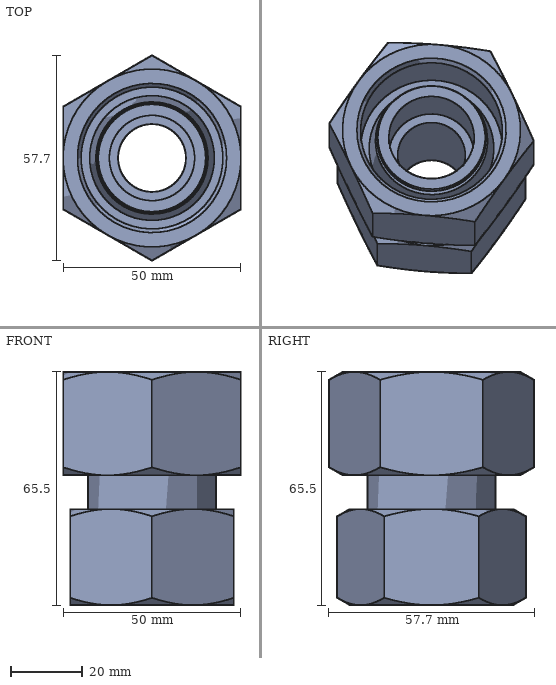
import cadquery as cq
import math

total_height = 65.5
nut_chamfer_angle = 30.0

upper_flats = 50.0
upper_height = 29.0
upper_bore = 39.8
mouth_diameter = 41.9
mouth_depth = 1.05

lower_flats = 46.0
lower_height = 27.0

neck_diameter = 36.0
through_bore = 19.0
tube_socket_diameter = 24.0
tube_socket_depth = 18.35
cone_tip_gap = 7.7
cone_tip_diameter = 30.1
groove_diameter = 29.5
groove_width = 1.95
groove_offset = 1.3
cone_base_diameter = 35.05
cone_half_angle = 12.0

cone_tip_z = total_height - cone_tip_gap
cone_height = (cone_base_diameter - cone_tip_diameter) / 2 / math.tan(math.radians(cone_half_angle))
cone_base_z = cone_tip_z - cone_height
upper_nut_z = total_height - upper_height


def cylinder(diameter, height, base_z):
    return cq.Workplane("XY").workplane(offset=base_z).circle(diameter / 2).extrude(height)


def hex_nut(flats, height, base_z):
    """Hexagon with flats facing +/-X and conical chamfers on both ends."""
    corner_radius = flats / 2 / math.cos(math.pi / 6)
    face_radius = flats / 2
    drop = (corner_radius - face_radius) * math.tan(math.radians(nut_chamfer_angle))
    hexagon = (
        cq.Workplane("XY").workplane(offset=base_z)
        .polygon(6, 2 * corner_radius).extrude(height)
        .rotate((0, 0, 0), (0, 0, 1), 30)
    )
    envelope = (
        cq.Workplane("XZ")
        .moveTo(0, base_z)
        .lineTo(face_radius, base_z)
        .lineTo(corner_radius, base_z + drop)
        .lineTo(corner_radius, base_z + height - drop)
        .lineTo(face_radius, base_z + height)
        .lineTo(0, base_z + height)
        .close()
        .revolve(360, (0, 0, 0), (0, 1, 0))
    )
    return hexagon.intersect(envelope)


def nut_cavity():
    """Bore of the upper nut, widened by a conical mouth at its open end."""
    bore = cylinder(upper_bore, total_height - cone_base_z, cone_base_z)
    mouth = (
        cq.Workplane("XY").workplane(offset=total_height).circle(mouth_diameter / 2)
        .workplane(offset=-mouth_depth).circle(upper_bore / 2).loft(combine=True)
    )
    return bore.union(mouth)


def sealing_cone():
    """Tapered nose with a rectangular seal groove near its tip."""
    cone = (
        cq.Workplane("XY").workplane(offset=cone_base_z).circle(cone_base_diameter / 2)
        .workplane(offset=cone_height).circle(cone_tip_diameter / 2).loft(combine=True)
    )
    groove_z = cone_tip_z - groove_offset - groove_width
    groove = cylinder(cone_base_diameter, groove_width, groove_z).cut(
        cylinder(groove_diameter, groove_width, groove_z)
    )
    return cone.cut(groove)


upper_nut = hex_nut(upper_flats, upper_height, upper_nut_z).cut(nut_cavity())
lower_nut = hex_nut(lower_flats, lower_height, 0)
neck = cylinder(neck_diameter, upper_nut_z - lower_height, lower_height)
bore = cylinder(through_bore, total_height, 0)
tube_socket = cylinder(tube_socket_diameter, tube_socket_depth, cone_tip_z - tube_socket_depth)

result = lower_nut.union(neck).union(upper_nut).union(sealing_cone()).cut(bore).cut(tube_socket)